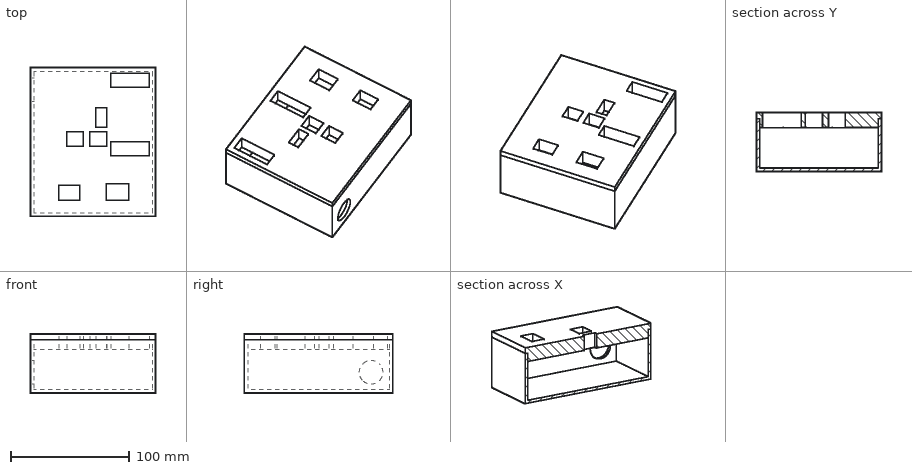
import cadquery as cq

length_x = 106.0
length_y = 126.0
height = 50.0

wall = 3.0
floor = 3.0
cable_hole_diameter = 20.0
cable_hole_y = 44.2
cable_hole_z = 17.8

skin_thickness = 2.0
plate_thickness = 3.0
plug_depth = 8.0
cover_thickness = skin_thickness + plate_thickness
lid_depth = cover_thickness + plug_depth

housing_height = height - cover_thickness
cavity_x = length_x - 2 * wall
cavity_y = length_y - 2 * wall

slot_size = (32.6, 11.8)
upright_size = (9.5, 16.4)
small_left_size = (13.9, 12.3)
small_right_size = (14.4, 12.3)
front_left_size = (17.8, 12.3)
front_right_size = (19.3, 13.9)

slot_x = 31.4
inner_right_edge = 11.6
small_row_y = 2.5
front_row_edge = -49.1

openings = [
    (slot_size, slot_x, 52.2),
    (slot_size, slot_x, -5.7),
    (upright_size, inner_right_edge - upright_size[0] / 2, 20.8),
    (small_left_size, -15.1, small_row_y),
    (small_right_size, inner_right_edge - small_right_size[0] / 2, small_row_y),
    (front_left_size, -20.0, front_row_edge + front_left_size[1] / 2),
    (front_right_size, 20.8, front_row_edge + front_right_size[1] / 2),
]


def block(size_x, size_y, size_z, bottom_z):
    """Box centred on the Z axis, standing on the level bottom_z."""
    return cq.Workplane("XY").workplane(offset=bottom_z).box(
        size_x, size_y, size_z, centered=(True, True, False)
    )


def make_housing():
    """Open-topped box with a round cable hole through its -X wall."""
    cavity = block(cavity_x, cavity_y, housing_height - floor, floor)
    cable_hole = (
        cq.Workplane("YZ", origin=(-length_x / 2, cable_hole_y, cable_hole_z))
        .circle(cable_hole_diameter / 2)
        .extrude(wall)
    )
    return block(length_x, length_y, housing_height, 0).cut(cavity).cut(cable_hole)


def make_lid():
    """Stepped lid with rectangular openings through its full depth."""
    skin = block(length_x, length_y, skin_thickness, height - skin_thickness)
    plate = block(length_x, length_y, plate_thickness, housing_height)
    plug = block(cavity_x, cavity_y, plug_depth, housing_height - plug_depth)
    lid = skin.union(plate, clean=False).union(plug, clean=False)
    for (size_x, size_y), center_x, center_y in openings:
        opening = block(size_x, size_y, lid_depth, height - lid_depth)
        lid = lid.cut(opening.translate((center_x, center_y, 0)), clean=False)
    return lid


housing = make_housing()
lid = make_lid()

result = cq.Compound.makeCompound([housing.val(), *lid.vals()])